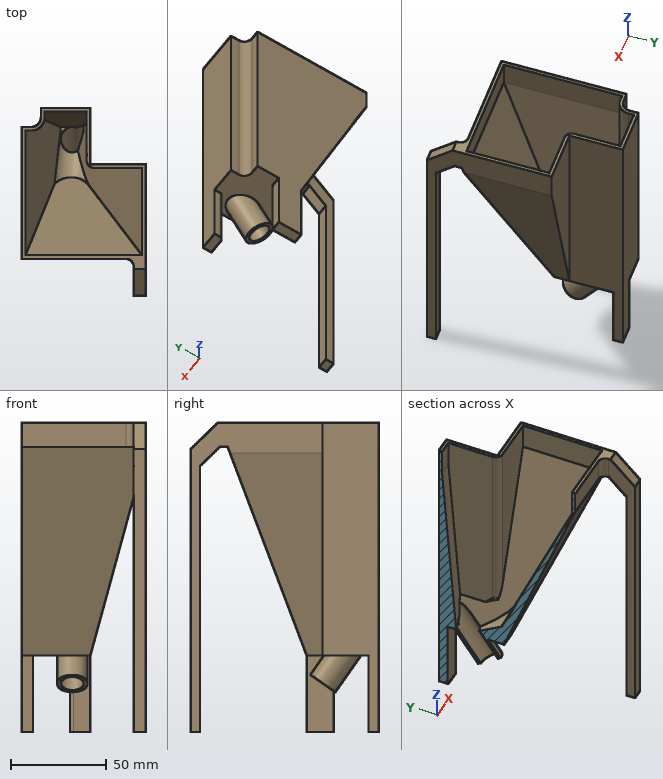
import cadquery as cq
import math

WIDTH = 65.0
DEPTH = 98.5
HEIGHT = 162.0
WALL = 2.0

BODY_DEPTH = 79.2
TOWER_RIGHT = 36.0
STEP_Y = -29.5
NOTCH_SIZE = 10.0
NOTCH_RADIUS = 5.0
INNER_STEP_RADIUS = 4.0

FLOOR_Z = 40.0
SLOPE_TOP_Z = 149.3
RIGHT_SLOPE_TOP_Z = 146.0
FRONT_BOTTOM_Y = -37.8

FUNNEL_TOP_Z = SLOPE_TOP_Z - WALL
FUNNEL_FLOOR_Z = 42.5
RAMP_BACK_Y = -12.5
RAMP_FRONT_Z = 62.5

LEFT_RUN = 0.175
RIGHT_RUN = 0.327
BACK_RUN = 0.077
FRONT_RUN = 0.43

TUBE_DIAMETER = 16.0
BORE_DIAMETER = 12.0
TUBE_TILT = 35.0
TUBE_END_X = 26.5
TUBE_END_Y = -29.3
TUBE_END_Z = 25.4
TUBE_TOP_Z = 42.0
BORE_LENGTH = 45.0

GUTTER_BACK_BOTTOM = cq.Vector(26.7, -16.5, 40.1)
GUTTER_FRONT_BOTTOM = cq.Vector(25.6, -50.0, 60.8)
GUTTER_BACK_RADIUS = 6.8
GUTTER_FRONT_RADIUS = 10.9

FOOT_WIDTH = 6.0
FOOT_BACK_Y = -23.5
BACK_LEG_WIDTH = 10.8
BACK_LEG_DEPTH = 5.4
BACK_LEG_RADIUS = 2.0
FRONT_LEG_WIDTH = 6.4
FRONT_LEG_DEPTH = 5.0
ELBOW_RUN = 14.2
ELBOW_DROP = 13.8
LEG_BLEND_RADIUS = 4.0


def prism_z(outline, bottom, top):
    """Extrude a closed XY outline from one height to another."""
    return outline.extrude(top - bottom).translate((0, 0, bottom))


def hopper_outline(inset):
    """Tower with a rounded notch at the back left, wider bin in front, moved inward by inset."""
    left = inset
    back = -inset
    notch_x = NOTCH_SIZE + inset
    notch_y = -NOTCH_SIZE - inset
    arc_offset = (NOTCH_RADIUS + inset) * math.sqrt(0.5)
    arc_centre = NOTCH_SIZE - NOTCH_RADIUS
    return (
        cq.Workplane("XY")
        .moveTo(notch_x, back)
        .lineTo(TOWER_RIGHT - inset, back)
        .lineTo(TOWER_RIGHT - inset, STEP_Y - inset)
        .lineTo(WIDTH - inset, STEP_Y - inset)
        .lineTo(WIDTH - inset, inset - BODY_DEPTH)
        .lineTo(left, inset - BODY_DEPTH)
        .lineTo(left, notch_y)
        .lineTo(arc_centre, notch_y)
        .threePointArc((arc_centre + arc_offset, -arc_centre - arc_offset), (notch_x, -arc_centre))
        .close()
    )


def hopper_body():
    """Solid hopper with its sloping front and right sides."""
    block = prism_z(hopper_outline(0), FLOOR_Z, HEIGHT)
    side_envelope = (
        cq.Workplane("YZ")
        .polyline([
            (0, FLOOR_Z),
            (FRONT_BOTTOM_Y, FLOOR_Z),
            (-BODY_DEPTH, SLOPE_TOP_Z),
            (-BODY_DEPTH, HEIGHT),
            (0, HEIGHT),
        ])
        .close()
        .extrude(WIDTH)
    )
    front_envelope = (
        cq.Workplane("XZ")
        .polyline([
            (0, FLOOR_Z),
            (TOWER_RIGHT, FLOOR_Z),
            (WIDTH, RIGHT_SLOPE_TOP_Z),
            (WIDTH, HEIGHT),
            (0, HEIGHT),
        ])
        .close()
        .extrude(BODY_DEPTH)
    )
    return block.intersect(side_envelope).intersect(front_envelope)


def funnel_back_y(z):
    """Y of the sloping back of the funnel at a given height."""
    return -WALL - BACK_RUN * (FUNNEL_TOP_Z - z)


def funnel_front_y(z):
    """Y of the sloping front of the funnel at a given height."""
    return WALL - BODY_DEPTH + FRONT_RUN * (FUNNEL_TOP_Z - z)


def funnel_wedge():
    """Space between the four sloping sides, continued down to the hopper underside."""
    side_to_side = (
        cq.Workplane("XZ")
        .polyline([
            (WALL + LEFT_RUN * (FUNNEL_TOP_Z - FLOOR_Z), FLOOR_Z),
            (WIDTH - WALL - RIGHT_RUN * (FUNNEL_TOP_Z - FLOOR_Z), FLOOR_Z),
            (WIDTH - WALL, FUNNEL_TOP_Z),
            (WIDTH - WALL, HEIGHT),
            (WALL, HEIGHT),
            (WALL, FUNNEL_TOP_Z),
        ])
        .close()
        .extrude(BODY_DEPTH)
    )
    front_to_back = (
        cq.Workplane("YZ")
        .polyline([
            (funnel_back_y(FLOOR_Z), FLOOR_Z),
            (funnel_front_y(FLOOR_Z), FLOOR_Z),
            (WALL - BODY_DEPTH, FUNNEL_TOP_Z),
            (WALL - BODY_DEPTH, HEIGHT),
            (-WALL, HEIGHT),
            (-WALL, FUNNEL_TOP_Z),
        ])
        .close()
        .extrude(WIDTH)
    )
    return side_to_side.intersect(front_to_back)


def above_ramp():
    """Space above the small flat floor and the ramp that rises from it toward the front."""
    return (
        cq.Workplane("YZ")
        .polyline([
            (0, FUNNEL_FLOOR_Z),
            (RAMP_BACK_Y, FUNNEL_FLOOR_Z),
            (funnel_front_y(RAMP_FRONT_Z), RAMP_FRONT_Z),
            (-BODY_DEPTH, RAMP_FRONT_Z),
            (-BODY_DEPTH, HEIGHT),
            (0, HEIGHT),
        ])
        .close()
        .extrude(WIDTH)
    )


def funnel_cavity():
    """Open-topped cavity with straight upper walls and four sloping sides over the ramp."""
    straight = prism_z(hopper_outline(WALL), FUNNEL_FLOOR_Z, HEIGHT)
    step_corner = (TOWER_RIGHT - WALL, STEP_Y - WALL, (FUNNEL_FLOOR_Z + HEIGHT) / 2)
    step_edge = cq.selectors.NearestToPointSelector(step_corner)
    straight = straight.edges(step_edge).fillet(INNER_STEP_RADIUS)
    return straight.intersect(funnel_wedge()).intersect(above_ramp())


TILT = math.radians(TUBE_TILT)
TUBE_AXIS = cq.Vector(0, math.sin(TILT), math.cos(TILT))
TUBE_END = cq.Vector(TUBE_END_X, TUBE_END_Y, TUBE_END_Z)


def tilted_cylinder(diameter):
    """Cylinder on the tube axis, starting at the square-cut lower end."""
    return cq.Workplane(cq.Solid.makeCylinder(diameter / 2, BORE_LENGTH, TUBE_END, TUBE_AXIS))


def outlet_tube():
    """Outside of the outlet tube, trimmed just above the hopper underside."""
    trim = cq.Workplane("XY").box(WIDTH, DEPTH, TUBE_TOP_Z, centered=False).translate((0, -DEPTH, 0))
    return tilted_cylinder(TUBE_DIAMETER).intersect(trim)


def outlet_bore():
    """Bore of the tube, stopped at the sloping back of the funnel."""
    limit = (
        cq.Workplane("YZ")
        .polyline([
            (funnel_back_y(0), 0),
            (-WALL, FUNNEL_TOP_Z),
            (-DEPTH, FUNNEL_TOP_Z),
            (-DEPTH, 0),
        ])
        .close()
        .extrude(WIDTH)
    )
    return tilted_cylinder(BORE_DIAMETER).intersect(limit)


def gutter():
    """Cone hollowing the ramp; its lowest line runs down from the funnel front to the bore."""
    start = GUTTER_BACK_BOTTOM + TUBE_AXIS * GUTTER_BACK_RADIUS
    end = GUTTER_FRONT_BOTTOM + TUBE_AXIS * GUTTER_FRONT_RADIUS
    axis = end - start
    cone = cq.Solid.makeCone(GUTTER_BACK_RADIUS, GUTTER_FRONT_RADIUS, axis.Length, start, axis)
    return cq.Workplane(cone).intersect(funnel_wedge())


def left_foot():
    """Flat foot below the left wall, ending flush with the bottom of the front slope."""
    length = FOOT_BACK_Y - FRONT_BOTTOM_Y
    foot = cq.Workplane("XY").box(FOOT_WIDTH, length, FLOOR_Z, centered=False)
    return foot.translate((0, FRONT_BOTTOM_Y, 0))


def back_leg():
    """Leg below the back right corner of the tower, with its inner edge rounded."""
    leg = cq.Workplane("XY").box(BACK_LEG_WIDTH, BACK_LEG_DEPTH, FLOOR_Z, centered=False)
    leg = leg.edges("|Z and <X and <Y").fillet(BACK_LEG_RADIUS)
    return leg.translate((TOWER_RIGHT - BACK_LEG_WIDTH, -BACK_LEG_DEPTH, 0))


def front_leg():
    """Cranked leg hanging from the front right corner of the rim."""
    outer_elbow_y = -DEPTH + ELBOW_RUN
    inner_leg_y = -DEPTH + FRONT_LEG_DEPTH
    inner_elbow_y = -BODY_DEPTH - LEG_BLEND_RADIUS
    inner_drop = (inner_elbow_y - inner_leg_y) * ELBOW_DROP / ELBOW_RUN
    return (
        cq.Workplane("YZ")
        .polyline([
            (WALL - BODY_DEPTH, HEIGHT),
            (outer_elbow_y, HEIGHT),
            (-DEPTH, HEIGHT - ELBOW_DROP),
            (-DEPTH, 0),
            (inner_leg_y, 0),
            (inner_leg_y, SLOPE_TOP_Z - inner_drop),
            (inner_elbow_y, SLOPE_TOP_Z),
            (WALL - BODY_DEPTH, SLOPE_TOP_Z),
        ])
        .close()
        .extrude(FRONT_LEG_WIDTH)
        .translate((WIDTH - FRONT_LEG_WIDTH, 0, 0))
    )


def leg_blend():
    """Concave rounded corner between the front wall and the front leg."""
    leg_x = WIDTH - FRONT_LEG_WIDTH
    radius = LEG_BLEND_RADIUS
    near_corner = radius * (1 - math.sqrt(0.5))
    outline = (
        cq.Workplane("XY")
        .moveTo(leg_x - radius, -BODY_DEPTH)
        .threePointArc((leg_x - near_corner, -BODY_DEPTH - near_corner), (leg_x, -BODY_DEPTH - radius))
        .lineTo(leg_x, -BODY_DEPTH)
        .close()
    )
    return prism_z(outline, SLOPE_TOP_Z, HEIGHT)


body = hopper_body().union(outlet_tube()).union(front_leg()).union(leg_blend())
body = body.union(left_foot()).union(back_leg())
result = body.cut(funnel_cavity()).cut(gutter()).cut(outlet_bore())